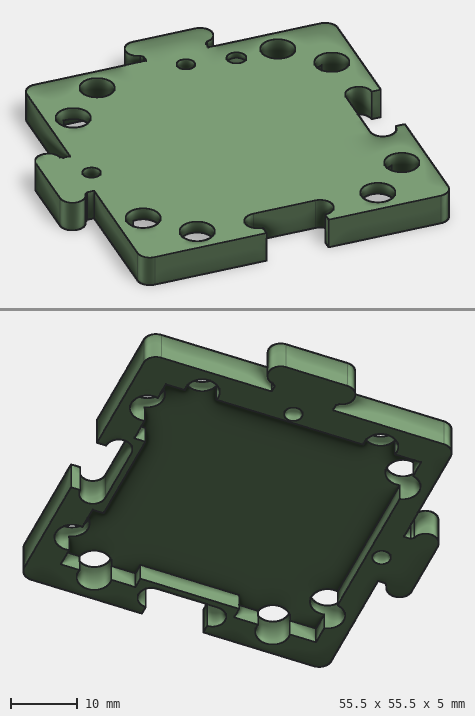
import cadquery as cq
import math

plate_side = 50.0
tab_length = 55.5 - plate_side
thickness = 5.0
corner_radius = 2.0
half_side = plate_side / 2

neck_width = 10.0
head_radius = 2.0
tab_chamfer = 0.4
socket_depth = 5.6
socket_head_radius = 2.05

tab_angles = (90, 180)
socket_angles = (0, -90)

mount_diameter = 5.3
mount_near = 14.55
mount_far = 20.8

tab_hole_diameter = 2.8
left_hole_center = (-21.9, 0.15)
bottom_hole_center = (0.3, -23.6)

marker_diameter = 3.0
marker_center = (-20.8, 7.9)
marker_depth = 1.0

roof_thickness = 2.0
socket_wall = 1.0
pocket_left = -20.2
pocket_right = 20.3
pocket_bottom = -21.35
pocket_top = 20.2
pocket_depth = thickness - roof_thickness


def connector(length, radius):
    """Connector standing on the XZ plane and reaching length along +Y."""
    half_neck = neck_width / 2
    head_center = length - radius
    neck_end = length - 2 * radius
    return (
        cq.Workplane("XY")
        .moveTo(-half_neck, 0)
        .lineTo(-half_neck, neck_end)
        .threePointArc((-half_neck - radius, head_center), (-half_neck, length))
        .lineTo(half_neck, length)
        .threePointArc((half_neck + radius, head_center), (half_neck, neck_end))
        .lineTo(half_neck, 0)
        .close()
        .extrude(thickness)
    )


def neck_webs():
    """Small triangular webs in the inner corners between a tab's neck and head."""
    half_neck = neck_width / 2
    root = tab_length - 2 * head_radius
    drop = head_radius - math.sqrt(head_radius**2 - tab_chamfer**2)
    corners = [
        (half_neck, root - tab_chamfer),
        (half_neck + tab_chamfer, root + drop),
        (half_neck, root + drop),
    ]
    web = cq.Workplane("XY").polyline(corners).close().extrude(thickness)
    return web.union(web.mirror("YZ"))


def turned(shape, angle):
    """Shape turned about the Z axis."""
    return shape.rotate((0, 0, 0), (0, 0, 1), angle)


def through_holes(centers, diameter):
    return cq.Workplane("XY").pushPoints(centers).circle(diameter / 2).extrude(thickness)


def underside_pocket():
    """Rectangular pocket that leaves walls around the two sockets."""
    width = pocket_right - pocket_left
    length = pocket_top - pocket_bottom
    pocket = cq.Workplane("XY").box(width, length, pocket_depth, centered=False)
    pocket = pocket.translate((pocket_left, pocket_bottom, 0))
    guard_width = neck_width + 2 * (socket_head_radius + socket_wall)
    guard_length = socket_depth + socket_wall
    guard = cq.Workplane("XY").box(guard_width, guard_length, pocket_depth, centered=(True, False, False))
    guard = guard.translate((0, half_side - guard_length, 0))
    for angle in socket_angles:
        pocket = pocket.cut(turned(guard, angle))
    return pocket


plate = cq.Workplane("XY").rect(plate_side, plate_side).extrude(thickness)
plate = plate.edges("|Z").fillet(corner_radius)

tab = connector(tab_length, head_radius).union(neck_webs()).translate((0, half_side, 0))
for angle in tab_angles:
    plate = plate.union(turned(tab, angle))

socket = connector(socket_depth, socket_head_radius).rotate((0, 0, 0), (0, 0, 1), 180)
socket = socket.translate((0, half_side, 0))
for angle in socket_angles:
    plate = plate.cut(turned(socket, angle))

plate = plate.cut(underside_pocket())

mount_centers = []
for x_sign in (-1, 1):
    for y_sign in (-1, 1):
        mount_centers.append((x_sign * mount_near, y_sign * mount_far))
        mount_centers.append((x_sign * mount_far, y_sign * mount_near))
plate = plate.cut(through_holes(mount_centers, mount_diameter))

plate = plate.cut(through_holes([left_hole_center, bottom_hole_center], tab_hole_diameter))

marker = (
    cq.Workplane("XY", origin=(0, 0, thickness - marker_depth))
    .center(*marker_center)
    .circle(marker_diameter / 2)
    .extrude(marker_depth)
)
result = plate.cut(marker)